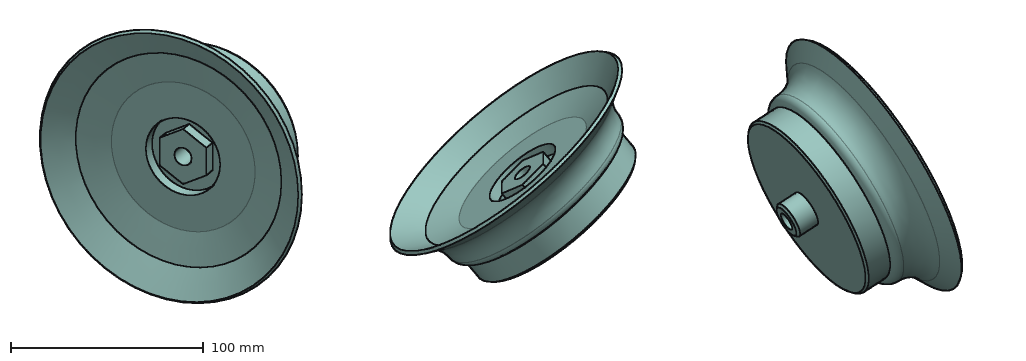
import cadquery as cq
import math

rim_height = 1.7
flare_end = 8.3
shoulder_height = 30.0
body_height = 45.0
total_height = 58.0

rim_radius = 76.5
flare_radius = 66.2
waist_radius = 115.0 / 2
body_radius = 105.0 / 2
stem_radius = 20.0 / 2
shoulder_radius = waist_radius - body_radius
waist_height = shoulder_height - shoulder_radius
body_chamfer = 1.2
stem_chamfer = 1.4

mouth_radius = 75.0
lip_radius = 60.0
lip_depth = 10.4
floor_radius = 41.9
floor_depth = 15.5

recess_radius = 43.3 / 2
recess_depth = 7.0
head_flats = 27.2
bore_diameter = 10.0


def on_arc(start, end, center, radius):
    """Point midway along the short arc from start to end."""
    dx = (start[0] + end[0]) / 2 - center[0]
    dy = (start[1] + end[1]) / 2 - center[1]
    length = math.hypot(dx, dy)
    return (center[0] + radius * dx / length, center[1] + radius * dy / length)


waist = (waist_radius, waist_height)
flare = (flare_radius, flare_end)
flare_dx = flare_radius - waist_radius
flare_dy = waist_height - flare_end
skirt_arc_radius = (flare_dx**2 + flare_dy**2) / (2 * flare_dx)
skirt_center = (waist_radius + skirt_arc_radius, waist_height)
skirt_mid = on_arc(waist, flare, skirt_center, skirt_arc_radius)

shoulder = (body_radius, shoulder_height)
shoulder_center = (body_radius, waist_height)
shoulder_mid = on_arc(waist, shoulder, shoulder_center, shoulder_radius)

cup = (
    cq.Workplane("XY")
    .moveTo(0, floor_depth)
    .lineTo(floor_radius, floor_depth)
    .lineTo(lip_radius, lip_depth)
    .lineTo(mouth_radius, 0)
    .lineTo(rim_radius, rim_height)
    .lineTo(*flare)
    .threePointArc(skirt_mid, waist)
    .threePointArc(shoulder_mid, shoulder)
    .lineTo(body_radius, body_height - body_chamfer)
    .lineTo(body_radius - body_chamfer, body_height)
    .lineTo(stem_radius, body_height)
    .lineTo(stem_radius, total_height - stem_chamfer)
    .lineTo(stem_radius - stem_chamfer, total_height)
    .lineTo(0, total_height)
    .close()
    .revolve(360, (0, 0, 0), (0, 1, 0))
)


def along_y(start):
    """Workplane at Y = start whose extrusions run toward +Y."""
    return cq.Workplane(cq.Plane(origin=(0, start, 0), xDir=(0, 0, 1), normal=(0, 1, 0)))


recess = along_y(floor_depth).circle(recess_radius).extrude(recess_depth)
head_corners = head_flats / math.cos(math.pi / 6)
head = along_y(floor_depth).polygon(6, head_corners).extrude(recess_depth)
bore = along_y(0).circle(bore_diameter / 2).extrude(total_height)

result = cup.cut(recess.cut(head)).cut(bore)